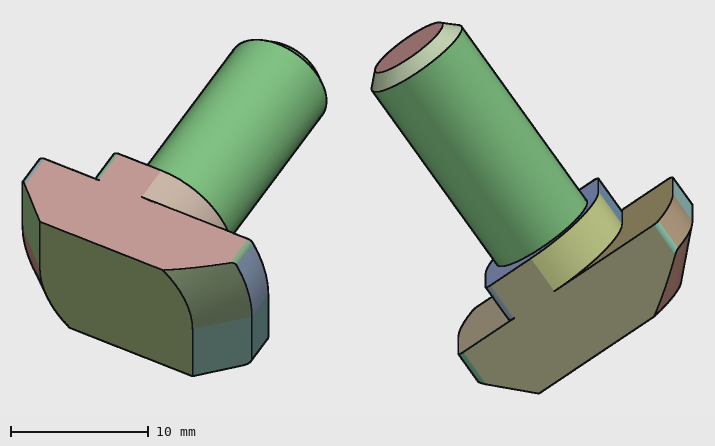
import cadquery as cq
import math

total_length = 25.7
head_width = 19.0
head_height = 10.0
head_depth = 5.7
bevel = 3.19
corner_radius = 0.5
neck_length = 3.0
neck_round_radius = 6.0
shank_radius = 4.0
shank_chamfer = 1.0

half_width = head_width / 2
half_height = head_height / 2
neck_width = head_height
neck_middle = head_depth + neck_length / 2
neck_end = head_depth + neck_length


def plane_at(y):
    """Plane across the bolt axis; its local axes are X and Z, and extruding by -d runs towards +Y."""
    return cq.Workplane("XZ", origin=(0, y, 0))


def turn_half(shape):
    """Copy turned 180 degrees about the bolt axis."""
    return shape.rotate((0, 0, 0), (0, 1, 0), 180)


def head_outline(y):
    """Rectangle with two opposite corners rounded about the bolt axis."""
    arc_end_x = math.sqrt(half_width**2 - half_height**2)
    mid_angle = math.asin(half_height / half_width) / 2
    mid_x = half_width * math.cos(mid_angle)
    mid_z = half_width * math.sin(mid_angle)
    return (
        plane_at(y)
        .moveTo(half_width, 0)
        .threePointArc((mid_x, mid_z), (arc_end_x, half_height))
        .lineTo(-half_width, half_height)
        .lineTo(-half_width, 0)
        .threePointArc((-mid_x, -mid_z), (-arc_end_x, -half_height))
        .lineTo(half_width, -half_height)
        .close()
    )


def bevel_envelope():
    """Flat bevels on the square corners and conical bevels on the round ones."""
    side_profile = [
        (0, 0),
        (half_width - bevel, 0),
        (half_width, bevel),
        (half_width, head_depth),
        (0, head_depth),
    ]
    flat = (
        cq.Workplane("XY", origin=(0, 0, -half_height))
        .polyline(side_profile).close().extrude(half_height)
    )
    cone = (
        cq.Workplane("XY")
        .polyline(side_profile).close().revolve(360, (0, 0, 0), (0, 1, 0))
    )
    round_quarter = (
        plane_at(0).rect(half_width, half_height, centered=False).extrude(-head_depth)
    )
    half = flat.union(cone.intersect(round_quarter))
    return half.union(turn_half(half))


def make_head():
    prism = head_outline(0).extrude(-head_depth)
    corner_edges = prism.edges("|Y").edges(">Z or <Z")
    return prism.newObject(corner_edges.vals()).fillet(corner_radius).intersect(bevel_envelope())


def make_neck():
    """Square neck with two opposite corners broadly rounded so that it can turn one way only."""
    block = plane_at(head_depth).rect(neck_width, neck_width).extrude(-neck_length)
    block = block.edges("|Y and ((<X and >Z) or (>X and <Z))").fillet(corner_radius)
    for corner_sign in (1, -1):
        corner = cq.selectors.NearestToPointSelector(
            (corner_sign * neck_width / 2, neck_middle, corner_sign * neck_width / 2)
        )
        block = block.edges("|Y").edges(corner).fillet(neck_round_radius)
    return block


def make_shank():
    shank = plane_at(neck_end).circle(shank_radius).extrude(-(total_length - neck_end))
    return shank.faces(">Y").chamfer(shank_chamfer)


result = make_head().union(make_neck()).union(make_shank())